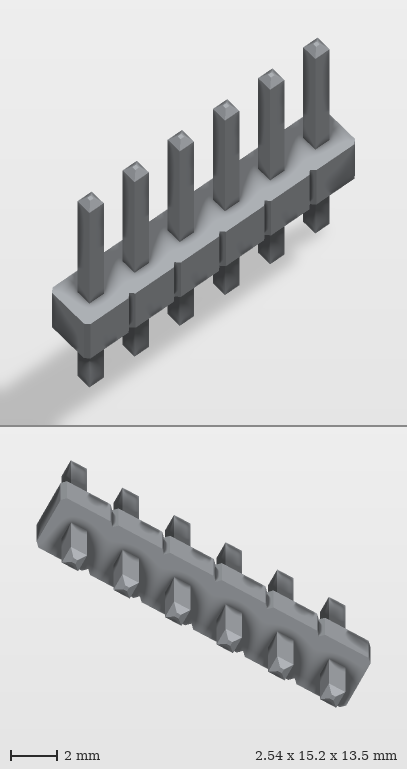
import cadquery as cq

row_length = 15.24
module_count = 6
pitch = row_length / module_count

block_width = pitch
block_height = pitch
block_chamfer = 0.2

pin_width = 0.81
pin_above_block = 7.0
pin_below_block = 3.96
tip_height = 0.3
pin_length = pin_below_block + block_height + pin_above_block


def make_block():
    """Block centred on the Z axis, standing on the XY plane."""
    return (
        cq.Workplane("XY")
        .rect(block_width, pitch)
        .extrude(block_height)
        .edges("|Z")
        .chamfer(block_chamfer)
    )


def make_pin():
    """Square pin along the Z axis, chamfered to a small flat at both ends."""
    return (
        cq.Workplane("XY")
        .workplane(offset=-pin_below_block)
        .rect(pin_width, pin_width)
        .extrude(pin_length)
        .faces("<Z or >Z")
        .chamfer(tip_height)
    )


def make_module(y_centre):
    """One header module: block and pin as a single solid."""
    return make_block().union(make_pin()).translate((0, y_centre, 0))


first_y = -(row_length - pitch) / 2
header_modules = []
for index in range(module_count):
    header_module = make_module(first_y + index * pitch)
    header_modules.append(header_module.solids().val())

result = cq.Compound.makeCompound(header_modules)